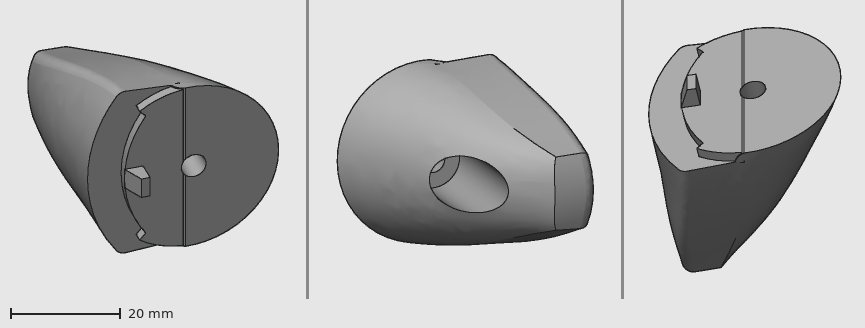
import cadquery as cq
import math


body_back_x = 34.22
seat_x = 36.25
tab_end_x = 40.25

stations = [
    (-0.8, -13.05, -13.8, 6.5, -20.17, 0.15),
    (3.22, -8.25, -11.75, 7.95, -20.35, 0.32),
    (10.05, -1.2, -8.4, 10.75, -20.57, 0.55),
    (18.1, 5.05, -5.68, 13.7, -20.25, 0.55),
    (26.15, 10.3, -3.9, 16.05, -19.9, 0.55),
    (seat_x, 16.4, -2.5, 17.95, -19.7, 0.7),
]
belly_radius = 28.2
edge_fillet = 2.0

nose_radius = 19.32
nose_trim_x = 1.6

step_low = (body_back_x, -3.7)
step_mid = (35.6, -2.75)
step_high = (seat_x, 0.7)

lip_overlap = 0.4
lip_radius = 17.1
lip_center_y = -0.7
lip_top_y = -2.0
lip_side_low_y = -10.43
lip_belly_corner = (-9.25, 12.8)
lip_bottom_y = -13.33

tab_width = 4.03
tab_top_y = -9.8
tab_tip_bottom_y = -11.47

bore_diameter = 10.55
hole_diameter = 4.75
bore_floor_thickness = 6.05

clearance = 8.05
tool_width = 48.3


def section(x, crown_y, crease_y, half_width, bottom_y, lean):
    """Closed shell outline in the plane at x: crown arc, two sides, belly arc."""
    crease_z = half_width - lean
    corner_y = bottom_y + belly_radius - math.sqrt(belly_radius**2 - half_width**2)
    return (
        cq.Workplane("YZ", origin=(x, 0, 0))
        .moveTo(crease_y, -crease_z)
        .threePointArc((crown_y, 0), (crease_y, crease_z))
        .lineTo(corner_y, half_width)
        .threePointArc((bottom_y, 0), (corner_y, -half_width))
        .close()
        .val()
    )


def make_shell():
    """Lofted shell with a rounded nose face and a filleted underside."""
    shell = cq.Workplane(cq.Solid.makeLoft([section(*station) for station in stations]))
    nose_cylinder = (
        cq.Workplane("XZ", origin=(nose_radius, 0, 0))
        .circle(nose_radius)
        .extrude(tool_width, both=True)
    )
    nose_block = (
        cq.Workplane("XY")
        .box(nose_trim_x + clearance, tool_width, tool_width, centered=(False, True, True))
        .translate((-clearance, 0, 0))
    )
    shell = shell.cut(nose_block.cut(nose_cylinder))
    return shell.faces("<Y").edges("not(>X)").fillet(edge_fillet)


def make_rear_step():
    """Tool that trims the lower shell back, rising to the seat along one arc."""
    return (
        cq.Workplane("XY")
        .moveTo(*step_low)
        .threePointArc(step_mid, step_high)
        .lineTo(seat_x + clearance, step_high[1])
        .lineTo(seat_x + clearance, -tool_width)
        .lineTo(body_back_x, -tool_width)
        .close()
        .extrude(tool_width, both=True)
    )


def lip_half_width(y):
    """Half width of the round lip side at height y."""
    return math.sqrt(lip_radius**2 - (y - lip_center_y) ** 2)


def make_lip():
    """Round-sided lip behind the lower shell; its arched belly is set in from the side edges."""
    corner_y, corner_z = lip_belly_corner
    top_z = lip_half_width(lip_top_y)
    side_low_z = lip_half_width(lip_side_low_y)
    side_mid_y = (lip_top_y + lip_side_low_y) / 2
    side_mid_z = lip_half_width(side_mid_y)
    return (
        cq.Workplane("YZ", origin=(body_back_x - lip_overlap, 0, 0))
        .moveTo(lip_top_y, top_z)
        .threePointArc((side_mid_y, side_mid_z), (lip_side_low_y, side_low_z))
        .lineTo(corner_y, corner_z)
        .threePointArc((lip_bottom_y, 0), (corner_y, -corner_z))
        .lineTo(lip_side_low_y, -side_low_z)
        .threePointArc((side_mid_y, -side_mid_z), (lip_top_y, -top_z))
        .close()
        .extrude(seat_x - body_back_x + lip_overlap)
    )


def make_tab():
    """Locating tab on the seat plane, tapering from below towards its tip."""
    return (
        cq.Workplane("XY")
        .moveTo(seat_x, tab_top_y)
        .lineTo(tab_end_x, tab_top_y)
        .lineTo(tab_end_x, tab_tip_bottom_y)
        .lineTo(seat_x, lip_bottom_y)
        .close()
        .extrude(tab_width / 2, both=True)
    )


def make_screw_seat():
    """Counterbore from the nose side with a through hole in its floor."""
    counterbore = (
        cq.Workplane("YZ")
        .circle(bore_diameter / 2)
        .extrude(seat_x - bore_floor_thickness)
    )
    hole = cq.Workplane("YZ").circle(hole_diameter / 2).extrude(tab_end_x)
    return counterbore.union(hole)


result = (
    make_shell()
    .cut(make_rear_step())
    .union(make_lip())
    .union(make_tab())
    .cut(make_screw_seat())
)